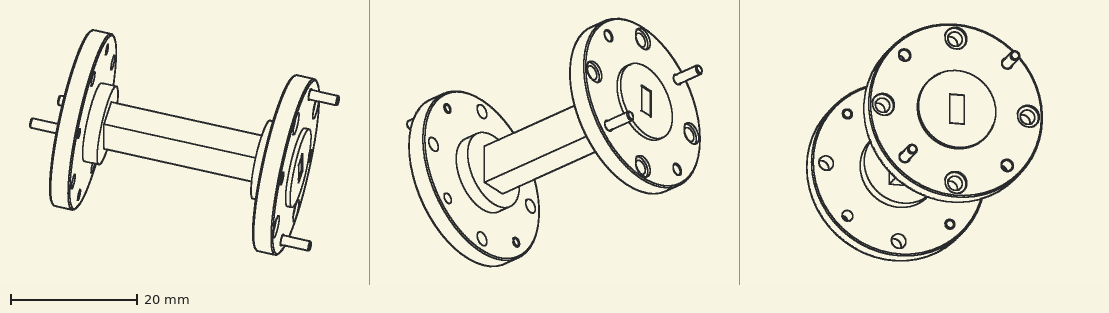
import cadquery as cq
import math

overall_length = 45.85
pin_projection = 4.65
pin_end_chamfer = 0.2

flange_diameter = 28.55
flange_thickness = 3.3
flange_chamfer = 0.25
flange_face_x = overall_length / 2 - pin_projection
flange_back_x = flange_face_x - flange_thickness

hub_diameter = 12.7
hub_front_projection = 0.75
hub_back_projection = 2.4
hub_front_x = flange_face_x + hub_front_projection
hub_back_x = flange_back_x - hub_back_projection

tube_width = 4.45
tube_height = 6.8

window_width = 2.4
window_height = 4.75
window_depth = 0.25

hole_circle_radius = 11.9
screw_hole_diameter = 2.35
counterbore_diameter = 3.58
counterbore_depth = 0.5
pin_diameter = 1.55
clearance_hole_diameter = 1.75
pin_hole_chamfer = 0.15
screw_angles = [0, 90, 180, 270]
pin_angles = [45, 225]
clearance_angles = [135, 315]


def on_circle(angles):
    """(y, z) points on the hole circle."""
    return [
        (
            hole_circle_radius * math.cos(math.radians(angle)),
            hole_circle_radius * math.sin(math.radians(angle)),
        )
        for angle in angles
    ]


def cylinders(diameter, x_start, x_end, points=((0, 0),)):
    """Cylinders along +X between two stations, one at each (y, z) point."""
    return (
        cq.Workplane("YZ", origin=(x_start, 0, 0))
        .pushPoints(points)
        .circle(diameter / 2)
        .extrude(x_end - x_start)
    )


def turned_to_minus_x(shape):
    """Copy of a +X end shape, turned half a turn about Z."""
    return shape.rotate((0, 0, 0), (0, 0, 1), 180)


def pin_holes(diameter, angles):
    """Cutters for through holes, widened by a chamfer at the mating face."""
    points = on_circle(angles)
    bores = cylinders(diameter, flange_back_x, flange_face_x, points)
    mouths = (
        cq.Workplane("YZ", origin=(flange_face_x, 0, 0))
        .pushPoints(points)
        .circle(diameter / 2 + pin_hole_chamfer)
        .extrude(-pin_hole_chamfer, taper=45)
    )
    return bores.union(mouths)


def make_flange():
    """Flange with its hub, holes and recess, at the +X end."""
    disc = cylinders(flange_diameter, flange_back_x, flange_face_x)
    disc = disc.faces("<X or >X").edges().chamfer(flange_chamfer)
    flange = disc.union(cylinders(hub_diameter, hub_back_x, hub_front_x))

    screw_points = on_circle(screw_angles)
    counterbore_floor_x = flange_face_x - counterbore_depth
    flange = flange.cut(cylinders(screw_hole_diameter, flange_back_x, flange_face_x, screw_points))
    flange = flange.cut(cylinders(counterbore_diameter, counterbore_floor_x, flange_face_x, screw_points))

    flange = flange.cut(pin_holes(clearance_hole_diameter, clearance_angles))
    flange = flange.cut(pin_holes(pin_diameter, pin_angles))

    window = (
        cq.Workplane("YZ", origin=(hub_front_x, 0, 0))
        .rect(window_width, window_height)
        .extrude(-window_depth)
    )
    return flange.cut(window)


def make_waveguide():
    """One solid: the rectangular tube joining the two flanges."""
    tube = cq.Workplane("XY").box(2 * hub_back_x, tube_width, tube_height)
    flange = make_flange()
    return tube.union(flange).union(turned_to_minus_x(flange))


def make_pin(point):
    """Alignment pin at the +X end, reaching to the back of the flange."""
    pin = cylinders(pin_diameter, flange_back_x, overall_length / 2, [point])
    return pin.faces("<X or >X").edges().chamfer(pin_end_chamfer)


waveguide = make_waveguide()

pins = []
for pin_point in on_circle(pin_angles):
    pin = make_pin(pin_point)
    pins.append(pin.val())
    pins.append(turned_to_minus_x(pin).val())

result = cq.Compound.makeCompound([waveguide.val(), *pins])